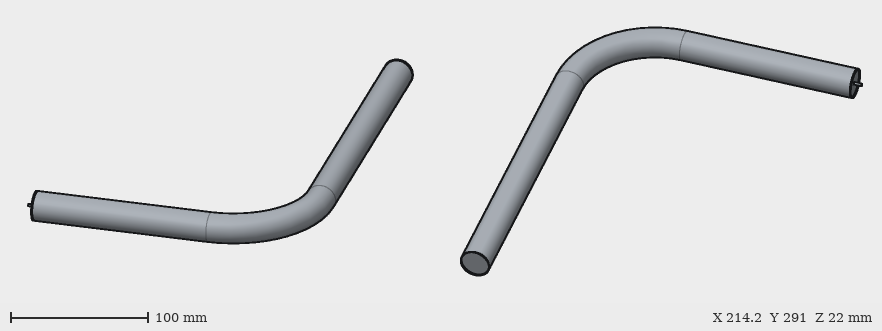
import cadquery as cq
import math

overall_x = 214.2
overall_y = 291.0

rod_diameter = 22.0
bend_radius = 66.0
bend_angle = math.radians(90)

rim_thickness = 0.5
recess_depth = 1.0

pin_diameter = 2.0
pin_length = 5.0

bend_outer_radius = bend_radius + rod_diameter / 2
short_arm_length = overall_x - bend_outer_radius - pin_length
long_arm_length = overall_y - bend_outer_radius
recess_diameter = rod_diameter - 2 * rim_thickness

short_end = cq.Vector(-short_arm_length, 0, 0)
long_end = cq.Vector(bend_radius, bend_radius + long_arm_length, 0)
short_end_outward = cq.Vector(-1, 0, 0)
long_end_outward = cq.Vector(0, 1, 0)


def bent_rod():
    """Sweep the rod section along the short arm, the bend and the long arm."""
    bend_middle = (
        bend_radius * math.sin(bend_angle / 2),
        bend_radius * (1 - math.cos(bend_angle / 2)),
    )
    centre_line = (
        cq.Workplane("XY")
        .moveTo(short_end.x, short_end.y)
        .lineTo(0, 0)
        .threePointArc(bend_middle, (bend_radius, bend_radius))
        .lineTo(long_end.x, long_end.y)
    )
    section = cq.Workplane("YZ", origin=short_end.toTuple()).circle(rod_diameter / 2)
    return section.sweep(centre_line)


def end_recess(end_point, outward):
    """Disc to cut from a rod end, reaching inward from the rim."""
    return cq.Solid.makeCylinder(recess_diameter / 2, recess_depth, end_point, -outward)


def end_pin():
    """Pin standing on the recess floor of the short arm and running out along -X."""
    floor_centre = short_end - short_end_outward * recess_depth
    return cq.Solid.makeCylinder(
        pin_diameter / 2, recess_depth + pin_length, floor_centre, short_end_outward
    )


result = (
    bent_rod()
    .cut(end_recess(short_end, short_end_outward))
    .cut(end_recess(long_end, long_end_outward))
    .union(end_pin())
)